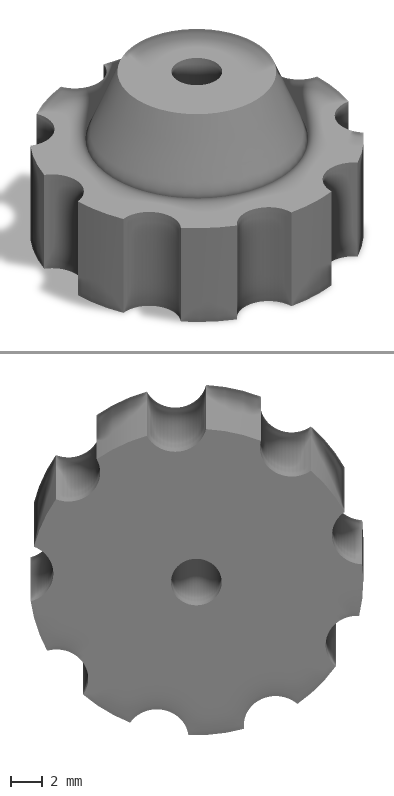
import cadquery as cq

grip_diameter = 21.0
grip_height = 7.0
scallop_count = 9
scallop_radius = 2.0
scallop_circle_radius = 11.0

hub_base_diameter = 14.0
hub_top_diameter = 10.0
hub_height = 5.0

bore_diameter = 3.2
total_height = grip_height + hub_height


def make_grip():
    """Disc with finger scallops cut through its rim, the first one on +X."""
    disc = cq.Workplane("XY").circle(grip_diameter / 2).extrude(grip_height)
    scallops = (
        cq.Workplane("XY")
        .polarArray(scallop_circle_radius, 0, 360, scallop_count)
        .circle(scallop_radius)
        .extrude(grip_height)
    )
    return disc.cut(scallops)


def make_hub():
    """Truncated cone standing on the top face of the grip."""
    return (
        cq.Workplane("XY")
        .workplane(offset=grip_height)
        .circle(hub_base_diameter / 2)
        .workplane(offset=hub_height)
        .circle(hub_top_diameter / 2)
        .loft()
    )


def make_bore():
    """Cylinder that opens the centre from bottom to top."""
    return cq.Workplane("XY").circle(bore_diameter / 2).extrude(total_height)


result = make_grip().union(make_hub()).cut(make_bore())